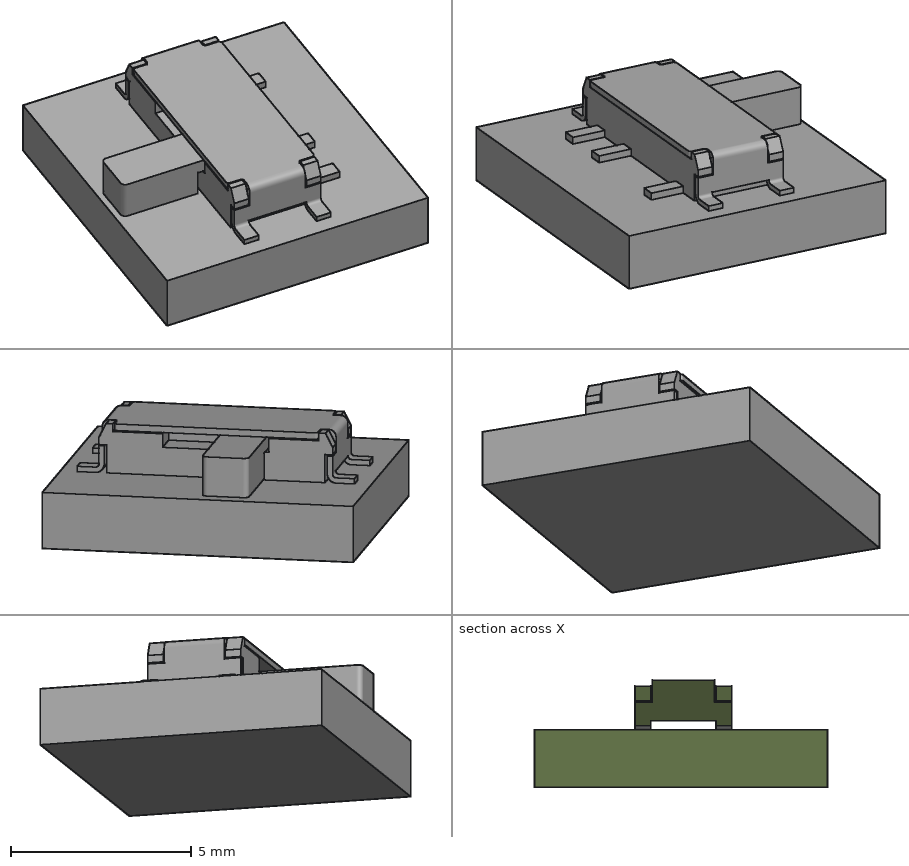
import cadquery as cq


BOARD_LENGTH = 8.78
BOARD_WIDTH = 8.13
BOARD_THICKNESS = 1.6

SWITCH_HEIGHT = 1.405
SWITCH_FRONT = -1.41
SWITCH_BACK = 1.28
SWITCH_HALF_LENGTH = 3.3
COVER_GAP = 0.035

HOUSING_HALF_LENGTH = 3.08
SHELF_HEIGHT = 1.185
HORN_BOTTOM = 0.8
HORN_INNER_X = 2.91
HORN_WIDTH = 0.45
HORN_SLOPE_BOTTOM = 1.01
HORN_SLOPE_TOP_X = 3.1
HORN_CORNER_RADIUS = 0.04

SLOT_HALF_LENGTH = 1.5
SLOT_FLOOR = 0.8
SLOT_DEPTH = 0.88

PIN_CENTERS_X = [-2.25, 0.755, 2.26]
PIN_WIDTH = 0.42
PIN_HEIGHT = 0.2
PIN_END_Y = 2.29

SHEET_THICKNESS = 0.15
WALL_INNER_X = SWITCH_HALF_LENGTH - SHEET_THICKNESS
COVER_BEND_RADIUS = 0.2
COVER_BACK = SWITCH_BACK + COVER_GAP
PLATE_BOTTOM = SHELF_HEIGHT + COVER_GAP
PLATE_CORNER_RADIUS = 0.08
NOTCH_CORNER_RADIUS = HORN_CORNER_RADIUS + COVER_GAP
FOOT_WIDTH = HORN_WIDTH
FOOT_END_X = 3.92
FOOT_INNER_RADIUS = 0.1
FOOT_OUTER_RADIUS = FOOT_INNER_RADIUS + SHEET_THICKNESS

SLIDER_LEFT = 0.09
SLIDER_RIGHT = 1.4
SLIDER_FRONT = -3.91
SLIDER_BOTTOM = 0.07
SLIDER_CLEARANCE = 0.16
SLIDER_CORNER_RADIUS = 0.15


def box(x_range, y_range, z_range):
    """Box that fills the given ranges along X, Y and Z."""
    low, high = zip(x_range, y_range, z_range)
    size = [end - start for start, end in zip(low, high)]
    return cq.Workplane().box(*size, centered=False).translate(low)


def mirrored_in_x(shape):
    """The shape together with its mirror image at the other end of the switch."""
    return shape.union(shape.mirror("YZ"))


def make_board():
    return cq.Workplane().box(BOARD_LENGTH, BOARD_WIDTH, BOARD_THICKNESS).translate(
        (0, 0, -BOARD_THICKNESS / 2)
    )


def make_horn(y_start, inner_edge):
    """Horn at the +X end: sloped outside, with one rounded corner facing the cover."""
    horn = (
        cq.Workplane("XZ", origin=(0, y_start + HORN_WIDTH, 0))
        .moveTo(HORN_INNER_X, HORN_BOTTOM)
        .lineTo(SWITCH_HALF_LENGTH, HORN_BOTTOM)
        .lineTo(SWITCH_HALF_LENGTH, HORN_SLOPE_BOTTOM)
        .lineTo(HORN_SLOPE_TOP_X, SWITCH_HEIGHT)
        .lineTo(HORN_INNER_X, SWITCH_HEIGHT)
        .close()
        .extrude(HORN_WIDTH)
    )
    return horn.edges("|Z").edges("<X").edges(inner_edge).fillet(HORN_CORNER_RADIUS)


def make_housing():
    housing = box(
        (-HOUSING_HALF_LENGTH, HOUSING_HALF_LENGTH),
        (SWITCH_FRONT, SWITCH_BACK),
        (0, SHELF_HEIGHT),
    )
    front_horn = make_horn(SWITCH_FRONT, ">Y")
    back_horn = make_horn(SWITCH_BACK - HORN_WIDTH, "<Y")
    for horn in (front_horn, back_horn):
        housing = housing.union(mirrored_in_x(horn))

    slot = box(
        (-SLOT_HALF_LENGTH, SLOT_HALF_LENGTH),
        (SWITCH_FRONT, SWITCH_FRONT + SLOT_DEPTH),
        (SLOT_FLOOR, SHELF_HEIGHT),
    )
    housing = housing.cut(slot)

    for center_x in PIN_CENTERS_X:
        pin = box(
            (center_x - PIN_WIDTH / 2, center_x + PIN_WIDTH / 2),
            (SWITCH_BACK, PIN_END_Y),
            (0, PIN_HEIGHT),
        )
        housing = housing.union(pin)
    return housing


def make_cover_shell():
    """Top plate with an end wall bent down at each end, before the corners are notched."""
    shell = box(
        (-SWITCH_HALF_LENGTH, SWITCH_HALF_LENGTH),
        (SWITCH_FRONT, COVER_BACK),
        (FOOT_OUTER_RADIUS, SWITCH_HEIGHT),
    )
    shell = shell.edges("|Y and >Z").fillet(COVER_BEND_RADIUS)
    inside = box(
        (-WALL_INNER_X, WALL_INNER_X),
        (SWITCH_FRONT, COVER_BACK),
        (FOOT_OUTER_RADIUS, PLATE_BOTTOM),
    )
    wall_overhang = box(
        (-SWITCH_HALF_LENGTH, SWITCH_HALF_LENGTH),
        (SWITCH_BACK, COVER_BACK),
        (FOOT_OUTER_RADIUS, PLATE_BOTTOM),
    )
    return shell.cut(inside).cut(wall_overhang)


def make_corner_notch(y_range, inner_edge):
    """Cutter that frees a gap around a horn at the +X end."""
    notch = box(
        (HORN_INNER_X - COVER_GAP, SWITCH_HALF_LENGTH),
        y_range,
        (HORN_BOTTOM - COVER_GAP, SWITCH_HEIGHT),
    )
    return notch.edges("|Z").edges("<X").edges(inner_edge).fillet(NOTCH_CORNER_RADIUS)


def make_foot(y_start):
    """Foot at the +X end that curves out of the end wall and lies on the board."""
    bend_x = WALL_INNER_X + FOOT_OUTER_RADIUS
    return (
        cq.Workplane("XZ", origin=(0, y_start + FOOT_WIDTH, 0))
        .moveTo(WALL_INNER_X, FOOT_OUTER_RADIUS)
        .radiusArc((bend_x, 0), -FOOT_OUTER_RADIUS)
        .lineTo(FOOT_END_X, 0)
        .lineTo(FOOT_END_X, SHEET_THICKNESS)
        .lineTo(bend_x, SHEET_THICKNESS)
        .radiusArc((SWITCH_HALF_LENGTH, FOOT_OUTER_RADIUS), FOOT_INNER_RADIUS)
        .close()
        .extrude(FOOT_WIDTH)
    )


def make_cover():
    cover = make_cover_shell()
    notch_width = HORN_WIDTH + COVER_GAP
    front_notch = make_corner_notch((SWITCH_FRONT, SWITCH_FRONT + notch_width), ">Y")
    back_notch = make_corner_notch((SWITCH_BACK - notch_width, COVER_BACK), "<Y")
    for notch in (front_notch, back_notch):
        cover = cover.cut(mirrored_in_x(notch))

    plate_corners = cq.selectors.BoxSelector(
        (-HORN_INNER_X, SWITCH_FRONT - COVER_GAP, PLATE_BOTTOM),
        (HORN_INNER_X, COVER_BACK + COVER_GAP, SWITCH_HEIGHT),
    )
    cover = cover.edges("|Z").edges(plate_corners).edges("<Y or >Y").fillet(PLATE_CORNER_RADIUS)

    for y_start in (SWITCH_FRONT, SWITCH_BACK - FOOT_WIDTH):
        cover = cover.union(mirrored_in_x(make_foot(y_start)))
    return cover


def make_slider():
    """Finger block in front of the housing, with a tongue that fills the slot height."""
    slider_x = (SLIDER_LEFT, SLIDER_RIGHT)
    finger = box(
        slider_x,
        (SLIDER_FRONT, SWITCH_FRONT - SLIDER_CLEARANCE),
        (SLIDER_BOTTOM, SHELF_HEIGHT),
    )
    finger = finger.edges("|Z and <Y").fillet(SLIDER_CORNER_RADIUS)
    tongue = box(
        slider_x,
        (SWITCH_FRONT - SLIDER_CLEARANCE, SWITCH_FRONT + SLOT_DEPTH),
        (SLOT_FLOOR, SHELF_HEIGHT),
    )
    return finger.union(tongue)


board = make_board()
housing = make_housing()
cover = make_cover()
slider = make_slider()

result = cq.Compound.makeCompound([board.val(), housing.val(), cover.val(), slider.val()])